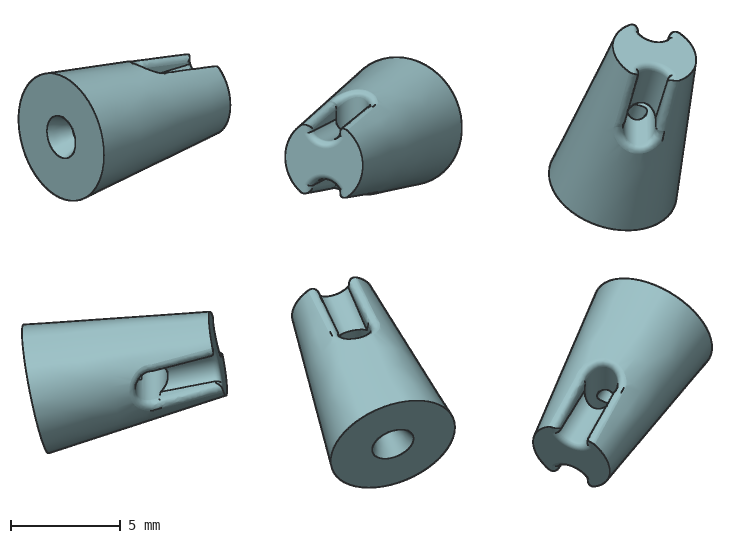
import cadquery as cq
import math

length = 8.5
front_diameter = 6.0
back_diameter = 3.91
front_y = -length / 2
back_y = length / 2

cross_hole_diameter = 1.5
cross_hole_radius = cross_hole_diameter / 2
cross_hole_y = 1.15

wall_foot_z = 1.275
groove_floor_z = 0.9
groove_foot_half_width = 0.7
groove_top_half_width = 0.79
rim_fillet = 0.3

tolerance = 0.001
edge_samples = (0.1, 0.3, 0.5, 0.7, 0.9)

axial_diameter = 0.99
countersink_diameter = 2.0
countersink_depth = 1.105


def make_body():
    """Truncated cone with its wide face toward -Y."""
    profile = [
        (0, front_y),
        (front_diameter / 2, front_y),
        (back_diameter / 2, back_y),
        (0, back_y),
    ]
    return cq.Workplane("XY").polyline(profile).close().revolve(360, (0, 0), (0, 1))


def make_groove(side):
    """Round-bottomed groove from the cross hole to the back face, on the +Z (1) or -Z (-1) side."""
    top_z = side * front_diameter / 2
    foot_z = side * wall_foot_z
    return (
        cq.Workplane("XZ", origin=(0, back_y, 0))
        .moveTo(-groove_top_half_width, top_z)
        .lineTo(-groove_foot_half_width, foot_z)
        .threePointArc((0, side * groove_floor_z), (groove_foot_half_width, foot_z))
        .lineTo(groove_top_half_width, top_z)
        .close()
        .extrude(back_y - cross_hole_y)
    )


def make_cross_hole():
    """Round hole right through the body along Z."""
    return (
        cq.Workplane("XY", origin=(0, cross_hole_y, 0))
        .circle(cross_hole_radius)
        .extrude(front_diameter / 2, both=True)
    )


def is_rim_edge(edge):
    """True for groove and cross-hole edges on the outer cone or on the back face."""
    taper = (front_diameter - back_diameter) / 2 / length
    on_cone = True
    on_back = True
    for point in edge.positions(edge_samples):
        cone_radius = back_diameter / 2 + taper * (back_y - point.y)
        on_cone = on_cone and abs(math.hypot(point.x, point.z) - cone_radius) < tolerance
        on_back = on_back and abs(point.y - back_y) < tolerance
    center = edge.Center()
    near_groove = abs(center.x) < groove_top_half_width and center.y > front_y + tolerance
    return near_groove and on_cone != on_back


def fillet_rims(part):
    """Round the groove and cross-hole rims."""
    rims = [edge for edge in part.edges().vals() if is_rim_edge(edge)]
    return part.newObject(rims).fillet(rim_fillet)


def make_axial_hole():
    """Countersunk hole from the front face into the cross hole."""
    hole = (
        cq.Workplane("XZ", origin=(0, cross_hole_y, 0))
        .circle(axial_diameter / 2)
        .extrude(cross_hole_y - front_y)
    )
    profile = [
        (0, front_y),
        (countersink_diameter / 2, front_y),
        (axial_diameter / 2, front_y + countersink_depth),
        (0, front_y + countersink_depth),
    ]
    countersink = cq.Workplane("XY").polyline(profile).close().revolve(360, (0, 0), (0, 1))
    return hole.union(countersink)


body = make_body().cut(make_cross_hole())
for side in (1, -1):
    body = body.cut(make_groove(side))
result = fillet_rims(body).cut(make_axial_hole())